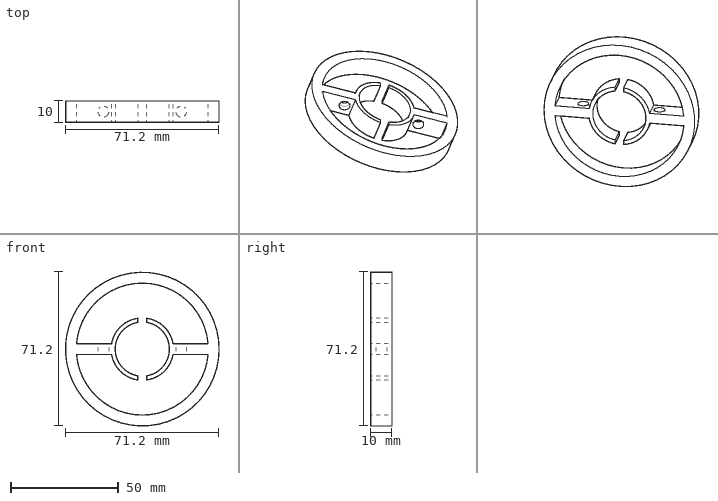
import cadquery as cq

RIM_DIAMETER = 71.25
RIM_BORE_DIAMETER = 61.0
DEPTH = 10.0

CLIP_BORE_DIAMETER = 25.0
CLIP_WALL = 2.0
CLIP_DIAMETER = CLIP_BORE_DIAMETER + 2 * CLIP_WALL
CLIP_GAP = 4.0

SPOKE_HEIGHT = 5.0
SPOKE_HOLE_DIAMETER = 5.0
SPOKE_HOLE_OFFSET = 18.0

CLIP_MID_RADIUS = (CLIP_BORE_DIAMETER + CLIP_DIAMETER) / 4
RIM_MID_RADIUS = (RIM_BORE_DIAMETER + RIM_DIAMETER) / 4


def front_plane():
    """XZ sketch plane; a negative extrusion runs toward +Y."""
    return cq.Workplane("XZ")


def ring(outer_diameter, inner_diameter):
    """Full-depth ring around the wheel axis."""
    outline = front_plane().circle(outer_diameter / 2).circle(inner_diameter / 2)
    return outline.extrude(-DEPTH)


def split_clip():
    """Thin ring parted at top and bottom by a vertical gap."""
    gap = front_plane().rect(CLIP_GAP, 2 * CLIP_DIAMETER).extrude(-DEPTH)
    return ring(CLIP_DIAMETER, CLIP_BORE_DIAMETER).cut(gap)


def spoke(side):
    """Spoke on the +X side (side = 1) or the -X side (side = -1)."""
    length = RIM_MID_RADIUS - CLIP_MID_RADIUS
    center_x = side * (RIM_MID_RADIUS + CLIP_MID_RADIUS) / 2
    return front_plane().center(center_x, 0).rect(length, SPOKE_HEIGHT).extrude(-DEPTH)


def spoke_hole(side):
    """Vertical through hole in one spoke, halfway along its depth."""
    section = cq.Workplane("XY").center(side * SPOKE_HOLE_OFFSET, DEPTH / 2)
    return section.circle(SPOKE_HOLE_DIAMETER / 2).extrude(SPOKE_HEIGHT, both=True)


result = ring(RIM_DIAMETER, RIM_BORE_DIAMETER).union(split_clip())
for side in (-1, 1):
    result = result.union(spoke(side))
for side in (-1, 1):
    result = result.cut(spoke_hole(side))